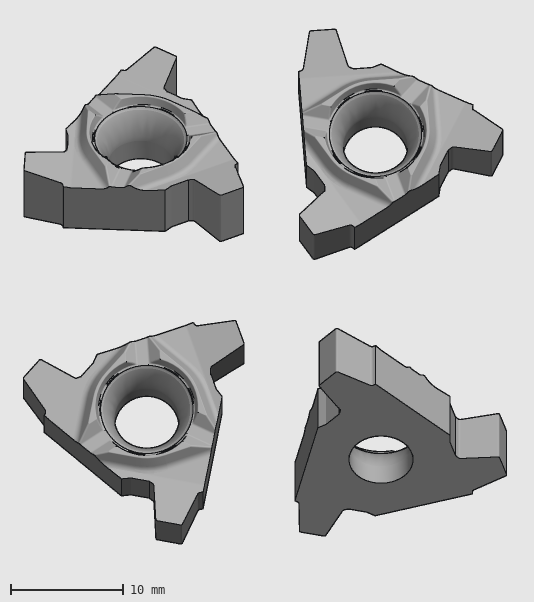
import cadquery as cq
import math

TOOTH_COUNT = 3
TOOTH_PITCH = 360 / TOOTH_COUNT

total_height = 6.05
floor_height = 4.98
channel_height = 5.25

side_distance = 6.35
side_top_y = 6.59
tooth_center_x = -3.93
tooth_root_y = 6.7
tooth_root_half_width = 2.03
tooth_tip_y = 10.17
tooth_tip_half_width = 1.18
tooth_tip_radius = 0.18
tooth_root_radius = 0.3
shoulder_y = 6.5
shoulder_start_x = -1.45
shoulder_end_x = 0.2
shoulder_corner_y = 6.75

rake_start_y = 5.9
rake_angle = math.radians(10)
rake_bend_radius = 0.79

collar_top_distance = 4.82
flank_run_per_rise = math.tan(math.radians(35))
flank_angle = math.radians(55)
collar_foot_radius = 0.67
collar_corner_angle = 30

bore_radius = 5.7 / 2
seat_arc_radius = 4.43
seat_arc_angle = math.radians(40)
lip_arc_radius = 1.18
lip_arc_angle = math.radians(15)
ledge_radius = 4.29
ledge_corner_radius = 0.12
collar_inner_radius = 4.56

channel_direction = 45
channel_floor_half_width = 0.55
channel_top_half_width = 1.53
channel_corner_radius = 0.28
channel_ridge_radius = 0.15
collar_rim_radius = 0.1

reach = 2 * side_distance
tolerance = 0.002


def rotated(point, degrees):
    angle = math.radians(degrees)
    x, y = point
    return (
        x * math.cos(angle) - y * math.sin(angle),
        x * math.sin(angle) + y * math.cos(angle),
    )


def at_every_tooth(points):
    return [rotated(point, -index * TOOTH_PITCH) for index in range(TOOTH_COUNT) for point in points]


def upright_edges(body, corners):
    """Find the vertical edges that stand on the given outline corners."""
    return [
        edge
        for edge in body.edges("|Z").vals()
        if any(math.dist((edge.Center().x, edge.Center().y), corner) < tolerance for corner in corners)
    ]


def repeated(solid):
    """Join copies of a solid at every tooth position."""
    joined = solid
    for index in range(1, TOOTH_COUNT):
        joined = joined.union(solid.rotate((0, 0, 0), (0, 0, 1), index * TOOTH_PITCH))
    return joined


def outline_block():
    side_normal = math.radians(180 - TOOTH_PITCH)
    shoulder_corner_x = (side_distance - shoulder_corner_y * math.sin(side_normal)) / math.cos(side_normal)
    roots = [
        (tooth_center_x - tooth_root_half_width, tooth_root_y),
        (tooth_center_x + tooth_root_half_width, tooth_root_y),
    ]
    tips = [
        (tooth_center_x - tooth_tip_half_width, tooth_tip_y),
        (tooth_center_x + tooth_tip_half_width, tooth_tip_y),
    ]
    tooth = [
        (-side_distance, side_top_y),
        roots[0],
        *tips,
        roots[1],
        (shoulder_start_x, shoulder_y),
        (shoulder_end_x, shoulder_y),
        (shoulder_corner_x, shoulder_corner_y),
    ]
    block = cq.Workplane("XY").polyline(at_every_tooth(tooth)).close().extrude(total_height)
    block = block.newObject(upright_edges(block, at_every_tooth(tips))).fillet(tooth_tip_radius)
    return block.newObject(upright_edges(block, at_every_tooth(roots))).fillet(tooth_root_radius)


def rake_wedge():
    bend_length = rake_bend_radius * math.tan(rake_angle / 2)
    bend_start = (rake_start_y - bend_length, floor_height)
    half_angle = rake_angle / 2
    bend_middle = (
        bend_start[0] + rake_bend_radius * math.sin(half_angle),
        floor_height + rake_bend_radius * (1 - math.cos(half_angle)),
    )
    bend_end = (
        bend_start[0] + rake_bend_radius * math.sin(rake_angle),
        floor_height + rake_bend_radius * (1 - math.cos(rake_angle)),
    )
    end_height = floor_height + (reach - rake_start_y) * math.tan(rake_angle)
    return (
        cq.Workplane("YZ")
        .moveTo(bend_start[0], 0)
        .lineTo(*bend_start)
        .threePointArc(bend_middle, bend_end)
        .lineTo(reach, end_height)
        .lineTo(reach, 0)
        .close()
        .extrude(reach, both=True)
    )


def collar_profile(plane):
    """Half section of the collar: flat top, sloping flank and concave foot."""
    flank_end_z = floor_height + collar_foot_radius * (1 - math.cos(flank_angle))
    flank_end = collar_top_distance + (total_height - flank_end_z) * flank_run_per_rise
    foot_end = flank_end + collar_foot_radius * math.sin(flank_angle)
    middle_angle = flank_angle / 2
    foot_middle = (
        foot_end - collar_foot_radius * math.sin(middle_angle),
        floor_height + collar_foot_radius * (1 - math.cos(middle_angle)),
    )
    return (
        cq.Workplane(plane)
        .lineTo(foot_end, 0)
        .lineTo(foot_end, floor_height)
        .threePointArc(foot_middle, (flank_end, flank_end_z))
        .lineTo(collar_top_distance, total_height)
        .lineTo(0, total_height)
        .close()
    )


def collar_third():
    """A conical corner and the mitred pair of straight flanks beside it."""
    corner = collar_profile("XZ").revolve(collar_corner_angle, (0, 0, 0), (0, -1, 0))
    flank_facing_y = collar_profile("YZ").extrude(reach)
    flank_facing_x = collar_profile("XZ").extrude(-reach)
    return corner.union(flank_facing_y.intersect(flank_facing_x))


def bore_cutter():
    seat_top_radius = bore_radius + seat_arc_radius * (1 - math.cos(seat_arc_angle))
    lip_end_angle = seat_arc_angle + lip_arc_angle
    lip_end_radius = seat_top_radius + lip_arc_radius * (math.cos(seat_arc_angle) - math.cos(lip_end_angle))
    seat_top_z = channel_height - lip_arc_radius * (math.sin(lip_end_angle) - math.sin(seat_arc_angle))
    seat_start_z = seat_top_z - seat_arc_radius * math.sin(seat_arc_angle)
    cutter = (
        cq.Workplane("XZ")
        .lineTo(bore_radius, 0)
        .lineTo(bore_radius, seat_start_z)
        .radiusArc((seat_top_radius, seat_top_z), seat_arc_radius)
        .radiusArc((lip_end_radius, channel_height), -lip_arc_radius)
        .lineTo(ledge_radius, channel_height)
        .lineTo(collar_inner_radius, total_height)
        .lineTo(0, total_height)
        .close()
        .revolve(360, (0, 0, 0), (0, 1, 0))
    )
    ledge_corner = [
        edge
        for edge in cutter.edges("%CIRCLE").vals()
        if abs(edge.radius() - ledge_radius) < tolerance
    ]
    return cutter.newObject(ledge_corner).fillet(ledge_corner_radius)


def channel_cutter():
    return (
        cq.Workplane("YZ")
        .moveTo(-channel_floor_half_width, channel_height)
        .lineTo(channel_floor_half_width, channel_height)
        .lineTo(channel_top_half_width, total_height)
        .lineTo(-channel_top_half_width, total_height)
        .close()
        .extrude(reach)
        .edges("|X and <Z")
        .fillet(channel_corner_radius)
        .rotate((0, 0, 0), (0, 0, 1), channel_direction)
    )


def is_channel_ridge(edge):
    """Tell whether an edge falls from the collar top at a point where a channel wall ends."""
    low, high = sorted([edge.startPoint(), edge.endPoint()], key=lambda point: point.z)
    if high.z < total_height - tolerance or low.z > total_height - tolerance:
        return False
    for index in range(TOOTH_COUNT):
        along, across = rotated((high.x, high.y), -channel_direction - index * TOOTH_PITCH)
        if along > 0 and abs(abs(across) - channel_top_half_width) < tolerance:
            return True
    return False


def round_channel_ridges(body):
    """Round the edges where channel walls meet the collar flanks and its inner wall."""
    ridges = [edge for edge in body.edges().vals() if is_channel_ridge(edge)]
    return body.newObject(ridges).fillet(channel_ridge_radius)


def round_collar_rim(body):
    return body.faces(">Z").edges().fillet(collar_rim_radius)


floor_slab = cq.Workplane("XY").circle(reach).extrude(floor_height)
top_form = floor_slab.union(repeated(rake_wedge())).union(repeated(collar_third()))
result = outline_block().intersect(top_form)
result = result.cut(repeated(channel_cutter())).cut(bore_cutter())
result = round_channel_ridges(result)
result = round_collar_rim(result)